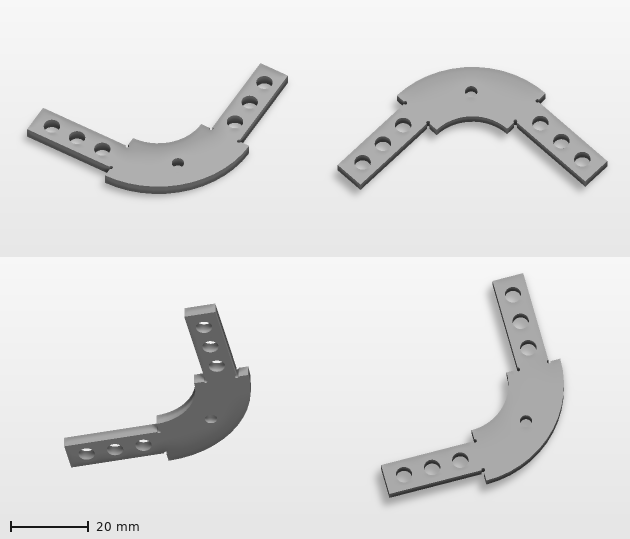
import cadquery as cq
import math

overall_size = 52.15
thickness = 3.0
mid_radius = 19.95
bend_width = 14.3
arm_width = 8.2
arm_hole_diameter = 4.2
arm_hole_count = 3
arm_hole_pitch = 7.5
end_hole_margin = 5.0
bend_hole_diameter = 3.2
relief_diameter = 1.0

outer_radius = mid_radius + bend_width / 2
inner_radius = mid_radius - bend_width / 2
arm_length = overall_size - outer_radius
diagonal = math.sqrt(0.5)


def make_bend():
    """Quarter ring in the +X, -Y quadrant."""
    return (
        cq.Workplane("XY")
        .moveTo(0, -outer_radius)
        .threePointArc((outer_radius * diagonal, -outer_radius * diagonal), (outer_radius, 0))
        .lineTo(inner_radius, 0)
        .threePointArc((inner_radius * diagonal, -inner_radius * diagonal), (0, -inner_radius))
        .close()
        .extrude(thickness)
    )


def make_arms():
    """Straight arms running along -X and +Y from the ends of the bend."""
    x_arm = cq.Workplane("XY").center(-arm_length / 2, -mid_radius).rect(arm_length, arm_width)
    y_arm = cq.Workplane("XY").center(mid_radius, arm_length / 2).rect(arm_width, arm_length)
    return x_arm.extrude(thickness).union(y_arm.extrude(thickness))


def make_holes(points, diameter):
    """Through-hole cutters at the given points."""
    return cq.Workplane("XY").pushPoints(points).circle(diameter / 2).extrude(thickness)


def mirrored_pair(along, across):
    """Matching points on the two arms, 'along' from the bend and 'across' from the origin."""
    return [(-along, -across), (across, along)]


arm_hole_points = []
for index in range(arm_hole_count):
    along_arm = arm_length - end_hole_margin - index * arm_hole_pitch
    arm_hole_points += mirrored_pair(along_arm, mid_radius)

relief_points = []
for side in (-1, 1):
    relief_points += mirrored_pair(0, mid_radius + side * arm_width / 2)

bend_hole_points = [(mid_radius * diagonal, -mid_radius * diagonal)]

result = (
    make_bend()
    .union(make_arms())
    .cut(make_holes(arm_hole_points, arm_hole_diameter))
    .cut(make_holes(relief_points, relief_diameter))
    .cut(make_holes(bend_hole_points, bend_hole_diameter))
)